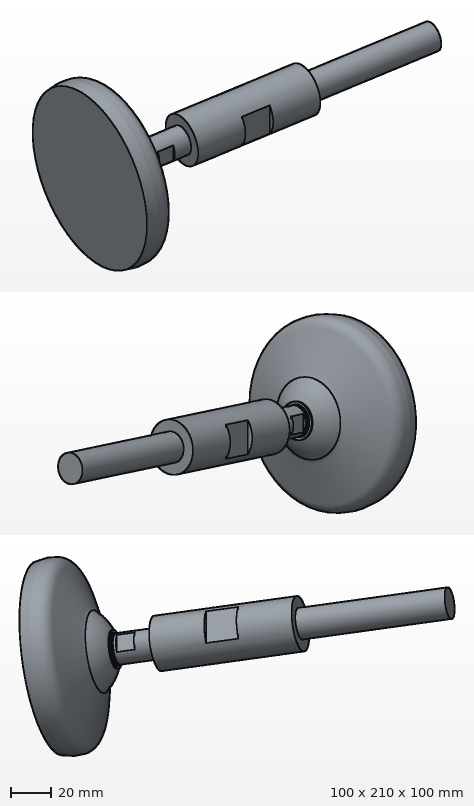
import cadquery as cq
import math

TOTAL_LENGTH = 210.0

FOOT_RADIUS = 50.0
FLOOR_RADIUS = 49.0
WIDEST_HEIGHT = 6.0
SHOULDER_RADIUS = 49.8
SHOULDER_HEIGHT = 9.2
SHOULDER_ROUNDING = 7.2
FLANK_ANGLE = math.radians(20.6)
FLANK_TOP_RADIUS = 23.0
CROWN_SPHERE_RADIUS = 26.5
CROWN_CENTER_HEIGHT = 9.0
CROWN_START_RADIUS = 20.9
COLLAR_RADIUS = 9.8
COLLAR_TOP = 34.4
CLEARANCE_RADIUS = 8.3
CLEARANCE_DEPTH = 1.0

ROD_RADIUS = 8.0
ROD_FLAT_WIDTH = 13.0
ROD_FLAT_BOTTOM = 37.0
ROD_FLAT_LENGTH = 9.5
NECK_RADIUS = 6.8
NECK_CHAMFER = ROD_RADIUS - NECK_RADIUS
NECK_TOP = 35.5
SEAT_DEPTH = 8.0
SEAT_HEIGHT = COLLAR_TOP - SEAT_DEPTH

SLEEVE_RADIUS = 14.0
SLEEVE_LENGTH = 75.0
SLEEVE_BOTTOM = 56.5
SLEEVE_FLAT_WIDTH = 22.0
SLEEVE_FLAT_LENGTH = 17.0


def crown_height(radius):
    """Height of the spherical crown at a distance from the axis."""
    return CROWN_CENTER_HEIGHT + math.sqrt(CROWN_SPHERE_RADIUS**2 - radius**2)


def cylinder(radius, bottom, top):
    """A solid cylinder on the common axis between two heights."""
    return cq.Workplane("XZ", origin=(0, bottom, 0)).circle(radius).extrude(bottom - top)


def cut_flats(body, outer_radius, width, bottom, length):
    """Cut two opposite wrench flats, facing -X and +X, a given width apart."""
    depth = outer_radius - width / 2
    for side in (-1, 1):
        cutter = cq.Workplane("XY").box(2 * depth, length, 2 * outer_radius)
        body = body.cut(cutter.translate((side * outer_radius, bottom + length / 2, 0)))
    return body


def make_foot():
    shoulder_end_radius = SHOULDER_RADIUS - SHOULDER_ROUNDING * (1 - math.sin(FLANK_ANGLE))
    shoulder_end_height = SHOULDER_HEIGHT + SHOULDER_ROUNDING * math.cos(FLANK_ANGLE)
    shoulder_mid_angle = (math.pi / 2 - FLANK_ANGLE) / 2
    shoulder_middle = (
        SHOULDER_RADIUS - SHOULDER_ROUNDING * (1 - math.cos(shoulder_mid_angle)),
        SHOULDER_HEIGHT + SHOULDER_ROUNDING * math.sin(shoulder_mid_angle),
    )
    flank_run = shoulder_end_radius - FLANK_TOP_RADIUS
    flank_top_height = shoulder_end_height + flank_run * math.tan(FLANK_ANGLE)
    crown_mid_radius = (CROWN_START_RADIUS + COLLAR_RADIUS) / 2
    return (
        cq.Workplane("XY")
        .lineTo(FLOOR_RADIUS, 0)
        .lineTo(FOOT_RADIUS, WIDEST_HEIGHT)
        .lineTo(SHOULDER_RADIUS, SHOULDER_HEIGHT)
        .threePointArc(shoulder_middle, (shoulder_end_radius, shoulder_end_height))
        .lineTo(FLANK_TOP_RADIUS, flank_top_height)
        .tangentArcPoint((CROWN_START_RADIUS, crown_height(CROWN_START_RADIUS)), relative=False)
        .threePointArc(
            (crown_mid_radius, crown_height(crown_mid_radius)),
            (COLLAR_RADIUS, crown_height(COLLAR_RADIUS)),
        )
        .lineTo(COLLAR_RADIUS, COLLAR_TOP)
        .lineTo(CLEARANCE_RADIUS, COLLAR_TOP)
        .lineTo(CLEARANCE_RADIUS, COLLAR_TOP - CLEARANCE_DEPTH)
        .lineTo(NECK_RADIUS, COLLAR_TOP - CLEARANCE_DEPTH)
        .lineTo(NECK_RADIUS, SEAT_HEIGHT)
        .lineTo(0, SEAT_HEIGHT)
        .close()
        .revolve(360, (0, 0, 0), (0, 1, 0))
    )


def make_spindle():
    spindle = (
        cq.Workplane("XY", origin=(0, SEAT_HEIGHT, 0))
        .lineTo(NECK_RADIUS, 0)
        .lineTo(NECK_RADIUS, NECK_TOP - NECK_CHAMFER - SEAT_HEIGHT)
        .lineTo(ROD_RADIUS, NECK_TOP - SEAT_HEIGHT)
        .lineTo(ROD_RADIUS, TOTAL_LENGTH - SEAT_HEIGHT)
        .lineTo(0, TOTAL_LENGTH - SEAT_HEIGHT)
        .close()
        .revolve(360, (0, 0, 0), (0, 1, 0))
    )
    return cut_flats(spindle, ROD_RADIUS, ROD_FLAT_WIDTH, ROD_FLAT_BOTTOM, ROD_FLAT_LENGTH)


def make_sleeve():
    sleeve_top = SLEEVE_BOTTOM + SLEEVE_LENGTH
    tube = cylinder(SLEEVE_RADIUS, SLEEVE_BOTTOM, sleeve_top).cut(
        cylinder(ROD_RADIUS, SLEEVE_BOTTOM, sleeve_top)
    )
    flat_bottom = SLEEVE_BOTTOM + (SLEEVE_LENGTH - SLEEVE_FLAT_LENGTH) / 2
    return cut_flats(tube, SLEEVE_RADIUS, SLEEVE_FLAT_WIDTH, flat_bottom, SLEEVE_FLAT_LENGTH)


foot = make_foot()
spindle = make_spindle()
sleeve = make_sleeve()

result = cq.Compound.makeCompound([foot.val(), spindle.val(), sleeve.val()])